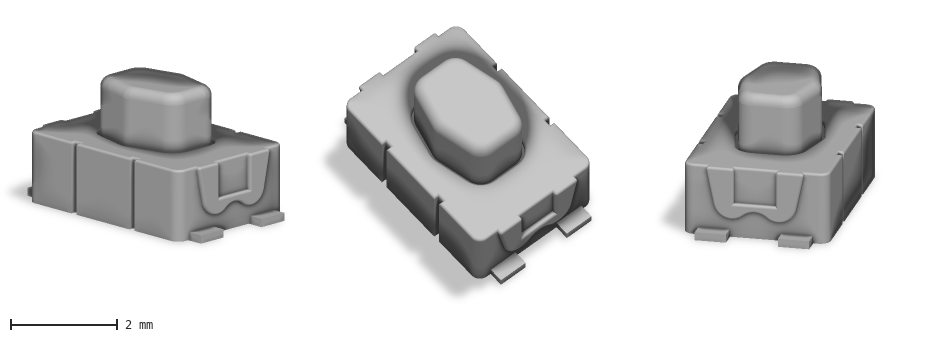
import cadquery as cq
import math

BODY_X = 4.0
BODY_Y = 2.8
BODY_TOP = 1.4
BODY_CORNER_RADIUS = 0.2
STANDOFF = 0.015
EDGE_RADIUS = 0.05

GROOVE_OFFSET = 0.77
GROOVE_WIDTH = 0.14
GROOVE_DEPTH = 0.1

TAB_THICKNESS = 0.1
TAB_WAVE_RADIUS = 0.35
TAB_LOBE_Y = 0.45
TAB_ARCH_Z = 0.55
TAB_SIDE_ANGLE = math.radians(12)
WINDOW_WIDTH = 0.81
WINDOW_BOTTOM = 0.705

BUTTON_TOP = 2.5
BUTTON_HALF_X = 1.055
BUTTON_APEX_Y = 0.805
BUTTON_SHOULDER_Y = 0.55
BUTTON_CORNER_RADIUS = 0.35
BUTTON_EDGE_RADIUS = 0.2
OPENING_GAP = 0.05
OPENING_DEPTH = 0.1
OPENING_FLOOR_Z = BODY_TOP - OPENING_DEPTH

LEAD_TIP_X = 2.3
LEAD_ROOT_X = 1.8
LEAD_WIDTH = 0.6
LEAD_Y = 0.8
LEAD_THICKNESS = 0.16

TAB_FACE_X = BODY_X / 2 + TAB_THICKNESS
SIDES = (-1, 1)


def block(x_range, y_range, z_range):
    """Box between two limits on each axis."""
    size = [high - low for low, high in (x_range, y_range, z_range)]
    corner = (x_range[0], y_range[0], z_range[0])
    return cq.Workplane("XY").box(*size, centered=False).translate(corner)


def make_body():
    """Rounded block with full-height grooves in its long sides."""
    body = (
        cq.Workplane("XY", origin=(0, 0, STANDOFF))
        .rect(BODY_X, BODY_Y)
        .extrude(BODY_TOP - STANDOFF)
        .edges("|Z")
        .fillet(BODY_CORNER_RADIUS)
    )
    groove_points = [(x * GROOVE_OFFSET, y * BODY_Y / 2) for x in SIDES for y in SIDES]
    grooves = (
        cq.Workplane("XY")
        .pushPoints(groove_points)
        .rect(GROOVE_WIDTH, 2 * GROOVE_DEPTH)
        .extrude(BODY_TOP)
    )
    return body.cut(grooves)


def make_tabs():
    """Slab through the body whose ends form the two wavy tabs, each with a window."""
    r = TAB_WAVE_RADIUS
    arch_center_z = TAB_ARCH_Z - r
    lobe_center_z = arch_center_z + math.sqrt((2 * r) ** 2 - TAB_LOBE_Y**2)
    lobe_bottom_z = lobe_center_z - r
    wave_y = TAB_LOBE_Y / 2
    wave_z = (arch_center_z + lobe_center_z) / 2

    def lobe_point(side, angle):
        """Point on a lobe at an angle below horizontal, measured from its outer side."""
        y = TAB_LOBE_Y + r * math.cos(angle)
        return (side * y, lobe_center_z - r * math.sin(angle))

    side_y, side_z = lobe_point(1, TAB_SIDE_ANGLE)
    top_y = side_y + (BODY_TOP - side_z) * math.tan(TAB_SIDE_ANGLE)

    lowest_angle = math.pi / 2
    arch_angle = math.pi - math.atan2(lobe_center_z - wave_z, TAB_LOBE_Y - wave_y)
    outer_angle = (TAB_SIDE_ANGLE + lowest_angle) / 2
    inner_angle = (lowest_angle + arch_angle) / 2

    slab = (
        cq.Workplane("YZ")
        .moveTo(-top_y, BODY_TOP)
        .lineTo(-side_y, side_z)
        .threePointArc(lobe_point(-1, outer_angle), (-TAB_LOBE_Y, lobe_bottom_z))
        .threePointArc(lobe_point(-1, inner_angle), (-wave_y, wave_z))
        .threePointArc((0, TAB_ARCH_Z), (wave_y, wave_z))
        .threePointArc(lobe_point(1, inner_angle), (TAB_LOBE_Y, lobe_bottom_z))
        .threePointArc(lobe_point(1, outer_angle), (side_y, side_z))
        .lineTo(top_y, BODY_TOP)
        .close()
        .extrude(TAB_FACE_X, both=True)
    )
    for side in SIDES:
        x_range = sorted((side * BODY_X / 2, side * TAB_FACE_X))
        window = block(x_range, (-WINDOW_WIDTH / 2, WINDOW_WIDTH / 2), (WINDOW_BOTTOM, BODY_TOP))
        slab = slab.cut(window)
    return slab


def button_prism(bottom, top, margin=0):
    """Six-sided prism with rounded upright edges, grown outward by the margin."""
    outline = (
        cq.Workplane("XY", origin=(0, 0, bottom))
        .polyline([
            (0, BUTTON_APEX_Y),
            (BUTTON_HALF_X, BUTTON_SHOULDER_Y),
            (BUTTON_HALF_X, -BUTTON_SHOULDER_Y),
            (0, -BUTTON_APEX_Y),
            (-BUTTON_HALF_X, -BUTTON_SHOULDER_Y),
            (-BUTTON_HALF_X, BUTTON_SHOULDER_Y),
        ])
        .close()
    )
    if margin:
        outline = outline.offset2D(margin, "intersection")
    return outline.extrude(top - bottom).edges("|Z").fillet(BUTTON_CORNER_RADIUS + margin)


def cut_opening(body):
    """Shallow recess that leaves a narrow gap around the button."""
    return body.cut(button_prism(OPENING_FLOOR_Z, BODY_TOP, OPENING_GAP))


def make_leads():
    """Four flat solder leads, two at each short side."""
    leads = cq.Workplane("XY")
    for x_side in SIDES:
        for y_side in SIDES:
            x_range = sorted((x_side * LEAD_ROOT_X, x_side * LEAD_TIP_X))
            y_center = y_side * LEAD_Y
            y_range = (y_center - LEAD_WIDTH / 2, y_center + LEAD_WIDTH / 2)
            leads = leads.add(block(x_range, y_range, (0, LEAD_THICKNESS)))
    return leads.combine()


def round_edges(body):
    """Round the top rim, the opening rim and the outer edges of the tabs."""
    top_edges = body.faces(">Z").edges()
    tab_edges = body.faces("<X or >X").edges()
    return top_edges.add(tab_edges).fillet(EDGE_RADIUS)


housing = round_edges(cut_opening(make_body().union(make_tabs())))
button = (
    button_prism(OPENING_FLOOR_Z, BUTTON_TOP)
    .faces(">Z")
    .edges()
    .fillet(BUTTON_EDGE_RADIUS)
)
result = housing.union(button).union(make_leads())